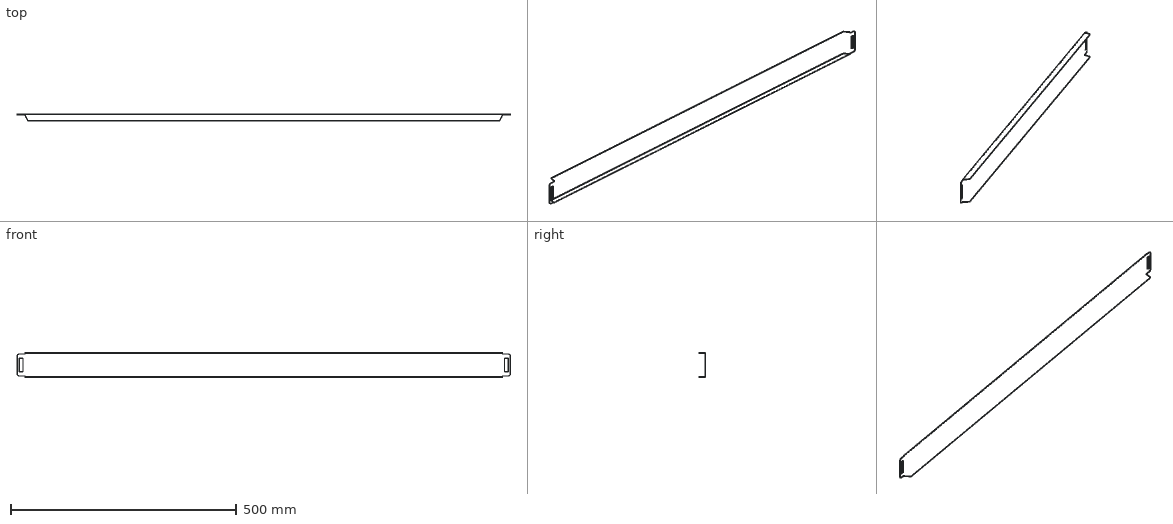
import cadquery as cq

length = 1095.0
depth = 15.0
height = 55.0
sheet = 2.0
outer_bend_radius = 2.7
inner_bend_radius = outer_bend_radius - sheet

flange_inset_root = 18.0
flange_inset_tip = 24.0

tab_height = height - 2 * outer_bend_radius
tab_corner_radius = 5.0

slot_width = 8.0
slot_height = 30.0
slot_edge_margin = 5.0

back = depth / 2
front = -depth / 2
web_front = back - sheet
bend_front = back - outer_bend_radius
root_half_length = length / 2 - flange_inset_root
tip_half_length = length / 2 - flange_inset_tip


def make_channel():
    """C-section open towards -Y, with rounded bends, trimmed to slanted ends."""
    outer = cq.Workplane("XY").box(length, depth, height)
    outer = outer.edges("|X and >Y").fillet(outer_bend_radius)
    cavity = cq.Workplane("XY").box(length, depth, height - 2 * sheet)
    cavity = cavity.edges("|X and >Y").fillet(inner_bend_radius)
    channel = outer.cut(cavity.translate((0, -sheet, 0)))
    flange_outline = (
        cq.Workplane("XY")
        .workplane(offset=-height / 2)
        .moveTo(-root_half_length, back)
        .lineTo(root_half_length, back)
        .lineTo(root_half_length, bend_front)
        .lineTo(tip_half_length, front)
        .lineTo(-tip_half_length, front)
        .lineTo(-root_half_length, bend_front)
        .close()
        .extrude(height)
    )
    return channel.intersect(flange_outline)


def make_tab_plate():
    """Full-length flat web whose rounded ends stand out as tabs."""
    plate = cq.Workplane("XY").box(length, sheet, tab_height)
    plate = plate.edges("|Y").fillet(tab_corner_radius)
    return plate.translate((0, back - sheet / 2, 0))


def make_slot(side):
    """Cutter for the slot in the tab at the given end (-1 or 1)."""
    slot_x = side * (length / 2 - slot_edge_margin - slot_width / 2)
    slot = cq.Workplane("XY").box(slot_width, depth, slot_height)
    return slot.translate((slot_x, web_front, 0))


result = make_channel().union(make_tab_plate())
for end in (-1, 1):
    result = result.cut(make_slot(end))